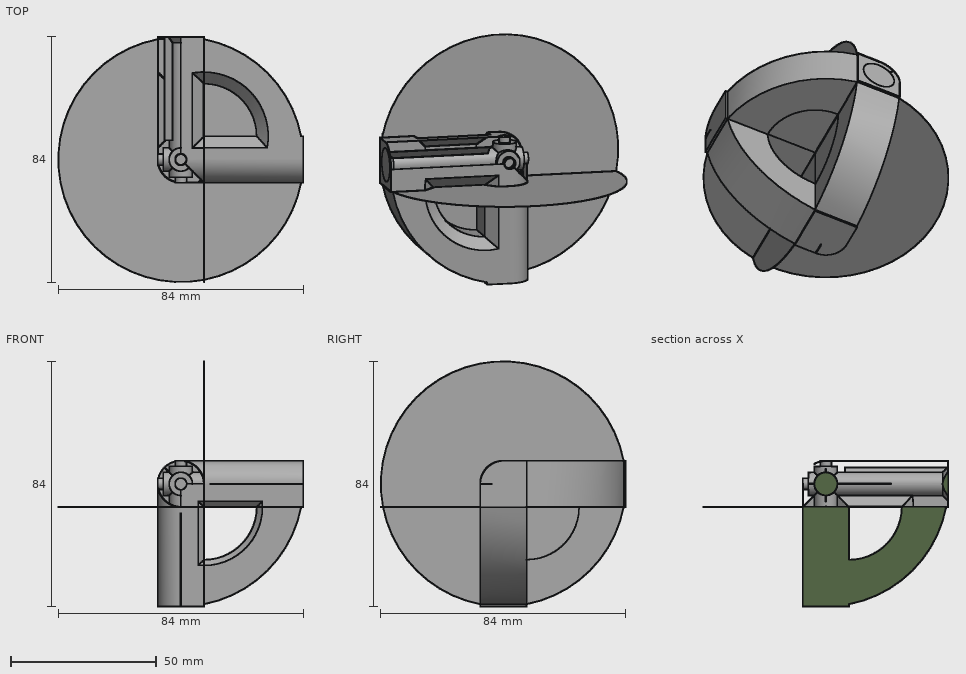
import cadquery as cq
import math

disc_radius = 42.0
half_width = 8.0
rod_radius = half_width / 2
pin_radius = half_width / 4
skin = 0.2

pin_length = half_width / 4
collar_reach = half_width - pin_length

window_radius = 18.0
deep_chamfer = half_width / 2
shallow_chamfer = half_width / 4

flare_angle = 45
cone_depth = 2.0
fin_start = 6.55
slit_start = 10.0
slit_width = 0.25

X_ARM = cq.Plane(origin=(0, 0, 0), xDir=(0, 1, 0), normal=(1, 0, 0))
Y_ARM = cq.Plane(origin=(0, 0, 0), xDir=(0, 0, -1), normal=(0, 1, 0))
Z_ARM = cq.Plane(origin=(0, 0, 0), xDir=(1, 0, 0), normal=(0, 0, -1))

XY_WEB = cq.Plane(origin=(0, 0, 0), xDir=(1, 0, 0), normal=(0, 0, 1))
YZ_WEB = cq.Plane(origin=(0, 0, 0), xDir=(0, 1, 0), normal=(-1, 0, 0))
XZ_WEB = cq.Plane(origin=(0, 0, 0), xDir=(0, 0, -1), normal=(0, -1, 0))

WINDOW_CHAMFERS = (
    (XY_WEB, deep_chamfer),
    (YZ_WEB, deep_chamfer),
    (XZ_WEB, shallow_chamfer),
)


def box(x_range, y_range, z_range):
    """Axis-aligned block given by its limits on each axis."""
    limits = (x_range, y_range, z_range)
    sizes = [high - low for low, high in limits]
    corner = [low for low, high in limits]
    return cq.Workplane("XY").box(*sizes, centered=False).translate(tuple(corner))


def arm(plane, start, end, inset=0.0):
    """Square bar with one fully rounded corner."""
    r = half_width - inset
    bend = r * math.sqrt(0.5)
    return (
        cq.Workplane(plane)
        .workplane(offset=start)
        .moveTo(0, r)
        .lineTo(r, r)
        .lineTo(r, -r)
        .lineTo(-r, -r)
        .lineTo(-r, 0)
        .threePointArc((-bend, bend), (0, r))
        .close()
        .extrude(end - start)
    )


def rod(plane, radius, start, end):
    return cq.Workplane(plane).workplane(offset=start).circle(radius).extrude(end - start)


def web(plane):
    """Quarter disc as thick as the arms."""
    quarter = rod(plane, disc_radius, -half_width, half_width)
    corner = (
        cq.Workplane(plane)
        .workplane(offset=-half_width)
        .rect(disc_radius, disc_radius, centered=False)
        .extrude(2 * half_width)
    )
    return quarter.intersect(corner)


def window_outline(plane, height, growth):
    """Quarter-round outline, offset outward by growth with sharp corners."""
    near = half_width - growth
    radius = window_radius + growth
    far = half_width + math.sqrt(radius**2 - growth**2)
    middle = half_width + radius * math.sqrt(0.5)
    return (
        cq.Workplane(plane)
        .workplane(offset=height)
        .moveTo(near, near)
        .lineTo(far, near)
        .threePointArc((middle, middle), (near, far))
        .close()
    )


def window_flare(plane, depth, growth=0.0):
    """45 degree flare at the mouth of a window; growth thickens it all round."""
    return window_outline(plane, half_width, depth + growth).extrude(-depth, taper=flare_angle)


def window(plane, depth):
    straight = window_outline(plane, -half_width, 0).extrude(2 * half_width)
    return straight.union(window_flare(plane, depth))


def front_slits():
    """Narrow slits along the X and Z arms, open on the -Y face and reaching their cores."""
    length = (slit_start, disc_radius)
    depth = (-half_width, -rod_radius)
    width = (-slit_width / 2, slit_width / 2)
    x_slit = box(length, depth, width)
    z_slit = box(width, depth, (-disc_radius, -slit_start))
    return x_slit.union(z_slit)


def hub_skin():
    """Rounded corner walls of the X and Z arms that shield the hub, mitred at 45 degrees."""
    w = half_width
    x_wall = arm(X_ARM, 0, w).cut(arm(X_ARM, 0, w, skin))
    x_wall = x_wall.intersect(
        cq.Workplane("XY").polyline([(0, 0), (w, 0), (w, -w)]).close().extrude(w)
    )
    z_wall = arm(Z_ARM, 0, w).cut(arm(Z_ARM, 0, w, skin))
    z_wall = z_wall.intersect(
        cq.Workplane("YZ").polyline([(0, 0), (0, -w), (-w, -w)]).close().extrude(-w)
    )
    return x_wall.union(z_wall)


def cavity():
    """Hollow inside the Y arm and hub, open on the rounded side of the arm and the hub corner."""
    w = half_width
    inner = w - skin
    end = disc_radius - skin
    hollow = box((-inner, w), (-inner, end), (-w, inner))
    open_side = box((-w, 0), (-w, end), (0, w))
    mouth_over_x_arm = box((0, w), (-w, 0), (0, w))
    mouth_over_z_arm = box((-w, 0), (-w, 0), (-w, 0))
    hollow = hollow.union(open_side).union(mouth_over_x_arm).union(mouth_over_z_arm)
    wall = skin * math.sqrt(2)
    for plane, depth in WINDOW_CHAMFERS:
        hollow = hollow.cut(window_flare(plane, depth, wall))
    return hollow


def fin():
    """Radial fin at 45 degrees, rooted inside the rod of the open arm."""
    toward_open_corner = 135
    inner = rod_radius / 2
    return (
        cq.Workplane(Y_ARM)
        .workplane(offset=fin_start)
        .transformed(rotate=(0, 0, toward_open_corner))
        .center((inner + half_width) / 2, 0)
        .rect(half_width - inner, slit_width)
        .extrude(disc_radius - fin_start)
    )


def end_cone():
    return (
        cq.Workplane(Y_ARM)
        .workplane(offset=disc_radius)
        .circle(rod_radius + cone_depth)
        .extrude(-cone_depth, taper=flare_angle)
    )


def pin_bores():
    """Blind bores that leave the X and Z pins as thin open cups."""
    bores = rod(X_ARM, pin_radius - skin, -half_width, -collar_reach)
    return bores.union(rod(Z_ARM, pin_radius - skin, -half_width, -collar_reach))


body = arm(X_ARM, 0, disc_radius)
body = body.union(arm(Y_ARM, 0, disc_radius))
body = body.union(arm(Z_ARM, 0, disc_radius))
for web_plane, chamfer in WINDOW_CHAMFERS:
    body = body.union(web(web_plane))
for web_plane, chamfer in WINDOW_CHAMFERS:
    body = body.cut(window(web_plane, chamfer))
body = body.cut(front_slits())

body = body.cut(cavity()).union(hub_skin())

for arm_plane, rod_end in ((X_ARM, half_width), (Y_ARM, disc_radius), (Z_ARM, half_width)):
    body = body.union(rod(arm_plane, rod_radius, -collar_reach, rod_end))
    body = body.union(rod(arm_plane, pin_radius, -half_width, 0))
body = body.cut(pin_bores())
body = body.union(fin()).union(end_cone())

for web_plane in (XY_WEB, YZ_WEB):
    body = body.union(rod(web_plane, disc_radius, -half_width, skin - half_width))

result = body